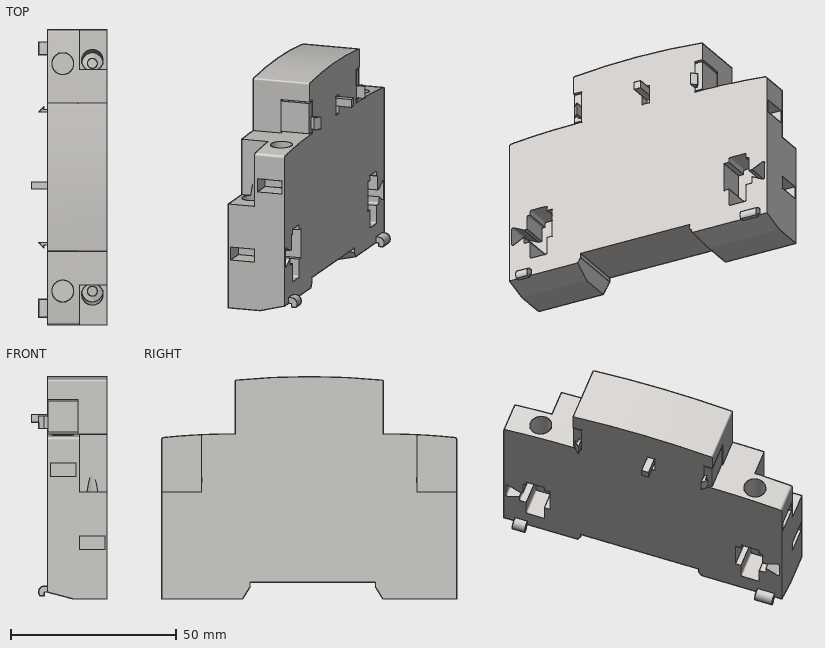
import cadquery as cq
import math

TOTAL_X, LENGTH, HEIGHT = 23.0, 89.4, 67.39
WIDTH = 18.1
POST_REACH = TOTAL_X - WIDTH
HALF = LENGTH / 2

TOWER_HALF = 22.45
TOWER_DROP = 1.1
SHOULDER_Z = 50.05
SHOULDER_DROP = 1.15
TOWER_FILLET = 0.5
SHOULDER_FILLET = 0.8
RAIL_Z = 5.1
RAIL_WALL_Z = 3.7
RAIL_BACK_Y, RAIL_FRONT_Y = 20.0, -17.9
RAIL_FLARE = 2.25
FOOT_BEVEL_X, FOOT_BEVEL_Z = 7.9, 2.1

STEP_X = 9.65
STEP_Z = 32.5
STEP_LENGTH = 12.1
SCREW_X = 13.6
SCREW_Y = 35.42
SCREW_SHAFT_R = 3.25
SCREW_SHAFT_DEPTH = 12.0
SCREW_TILT = 4.8
HEAD_SLOPE = 15.0
HEAD_RIDGE_WIDTH = 1.25
HEAD_PAD_R = 1.5
HEAD_PAD_RISE = 0.1

WELL_X, WELL_Y, WELL_R = 4.65, 34.4, 3.3
WELL_FLOOR_Z = 37.1

UPPER_OPENING = (0.85, 8.7, WELL_FLOOR_Z, 41.2)
LOWER_OPENING = (9.7, 17.35, 15.05, 19.1)
OPENING_DEPTH = 7.0

POCKET_DEPTH = 9.0
POCKET_CORNER = 0.5

CLIP_SEAT_X, CLIP_SEAT_DEPTH = 9.2, 2.75
CLIP_SEAT_Z = (SHOULDER_Z, 60.5)
CLIP_GAP = 0.5
CLIP_INSET = 0.2
HOOK_Z = (51.6, 55.4)
HOOK_REACH = 2.7
HOOK_STEM = 0.85
HOOK_BARB = 1.7
BARB_BACK_X = 1.1

POST_Y, POST_Z = (-3.6, -1.4), (53.5, 55.95)
SLOT_Y, SLOT_Z = (-3.9, -1.4), (50.6, 56.5)
POST_SLOT_DEPTH = 3.0

FOOT_HOOKS = ((37.05, 41.0), (-42.4, -36.9))
FOOT_HOOK_REACH = 2.7
FOOT_HOOK_TOP, FOOT_HOOK_BOTTOM = 3.97, 1.0
FOOT_HOOK_R = 1.8
FOOT_HOOK_LIP_X = 0.9

ENDS = (1, -1)


def block(x_range, y_range, z_range):
    """Box between two limits along each axis, in either order."""
    limits = [sorted(r) for r in (x_range, y_range, z_range)]
    sizes = [hi - lo for lo, hi in limits]
    corner = [lo for lo, hi in limits]
    return cq.Workplane("XY").box(*sizes, centered=False).translate(corner)


def shoulder_height(y):
    """Height of the shoulder arc, level where it leaves the tower."""
    run = HALF - TOWER_HALF
    radius = (run ** 2 + SHOULDER_DROP ** 2) / (2 * SHOULDER_DROP)
    return SHOULDER_Z - radius + math.sqrt(radius ** 2 - (y - TOWER_HALF) ** 2)


def housing():
    shoulder_end = shoulder_height(HALF)
    shoulder_mid_y = (HALF + TOWER_HALF) / 2
    shoulder_mid = shoulder_height(shoulder_mid_y)
    tower_edge = HEIGHT - TOWER_DROP
    body = (
        cq.Workplane("YZ")
        .moveTo(-HALF, 0)
        .lineTo(RAIL_FRONT_Y - RAIL_FLARE, 0)
        .lineTo(RAIL_FRONT_Y, RAIL_WALL_Z)
        .lineTo(RAIL_FRONT_Y, RAIL_Z)
        .lineTo(RAIL_BACK_Y, RAIL_Z)
        .lineTo(RAIL_BACK_Y, RAIL_WALL_Z)
        .lineTo(RAIL_BACK_Y + RAIL_FLARE, 0)
        .lineTo(HALF, 0)
        .lineTo(HALF, shoulder_end)
        .threePointArc((shoulder_mid_y, shoulder_mid), (TOWER_HALF, SHOULDER_Z))
        .lineTo(TOWER_HALF, tower_edge)
        .threePointArc((0, HEIGHT), (-TOWER_HALF, tower_edge))
        .lineTo(-TOWER_HALF, SHOULDER_Z)
        .threePointArc((-shoulder_mid_y, shoulder_mid), (-HALF, shoulder_end))
        .close()
        .extrude(WIDTH)
    )
    for end in ENDS:
        shoulder_edge = cq.selectors.NearestToPointSelector((WIDTH / 2, end * HALF, shoulder_end))
        tower_top_edge = cq.selectors.NearestToPointSelector((WIDTH / 2, end * TOWER_HALF, tower_edge))
        body = body.edges("|X").edges(shoulder_edge).fillet(SHOULDER_FILLET)
        body = body.edges("|X").edges(tower_top_edge).fillet(TOWER_FILLET)
    bevel = (
        cq.Workplane("XZ")
        .polyline([(0, 0), (FOOT_BEVEL_X, 0), (0, FOOT_BEVEL_Z)])
        .close()
        .extrude(HALF, both=True)
    )
    return body.cut(bevel)


def screw_head():
    """Low roof with a rounded ridge along Y and a flat round pad in its middle."""
    slope = math.radians(HEAD_SLOPE)
    eave_x = SCREW_SHAFT_R
    ridge_x = HEAD_RIDGE_WIDTH / 2
    ridge_z = (eave_x - ridge_x) * math.tan(slope)
    crown_z = ridge_z + ridge_x * math.tan(slope / 2)
    roof = (
        cq.Workplane("XZ")
        .moveTo(-eave_x, 0)
        .lineTo(eave_x, 0)
        .lineTo(ridge_x, ridge_z)
        .threePointArc((0, crown_z), (-ridge_x, ridge_z))
        .close()
        .extrude(SCREW_SHAFT_R, both=True)
    )
    pad = cq.Workplane("XY").circle(HEAD_PAD_R).extrude(crown_z + HEAD_PAD_RISE)
    return roof.union(pad).translate((0, 0, -SCREW_SHAFT_DEPTH))


def screw_terminal(end):
    """Open step with a leaning screw shaft that ends on a roof-shaped head."""
    wall = HALF - STEP_LENGTH
    step = block((STEP_X, WIDTH), (end * wall, end * HALF), (STEP_Z, HEIGHT))
    shaft = (
        cq.Workplane("XY")
        .workplane(offset=-SCREW_SHAFT_DEPTH)
        .circle(SCREW_SHAFT_R)
        .extrude(SCREW_SHAFT_DEPTH + HEIGHT - STEP_Z)
        .cut(screw_head())
        .rotate((0, 0, 0), (1, 0, 0), -end * SCREW_TILT)
        .translate((SCREW_X, end * SCREW_Y, STEP_Z))
    )
    return step.union(shaft)


def well(end):
    return (
        cq.Workplane("XY")
        .workplane(offset=WELL_FLOOR_Z)
        .center(WELL_X, end * WELL_Y)
        .circle(WELL_R)
        .extrude(HEIGHT - WELL_FLOOR_Z)
    )


def wire_opening(end, x_start, x_end, z_bottom, z_top):
    return block((x_start, x_end), (end * (HALF - OPENING_DEPTH), end * HALF), (z_bottom, z_top))


def keyed_pocket(end):
    """Cross-shaped pocket with a flared key; Y insets measured from the end wall."""
    top, upper, lower, bottom = 24.4, 22.85, 13.65, 8.0
    neck_top, neck_bottom = 18.25, 15.85
    key_top, key_bottom = 20.3, 13.7
    key_end, neck, outer_wall = 0.8, 5.1, 6.2
    stem_outer, stem_inner, inner_wall = 7.25, 13.1, 14.85

    def y(inset):
        return end * (HALF - inset)

    x_range = (0, POCKET_DEPTH)
    stem = block(x_range, (y(stem_outer), y(stem_inner)), (bottom, top))
    stem = stem.edges("|X").fillet(POCKET_CORNER)
    outward = ">Y" if end > 0 else "<Y"
    cross = block(x_range, (y(stem_outer), y(inner_wall)), (lower, upper))
    shoulder = block(x_range, (y(outer_wall), y(stem_inner)), (neck_top, upper))
    shoulder = shoulder.faces(outward).edges("|X").edges(">Z").fillet(POCKET_CORNER)
    foot = block(x_range, (y(neck), y(stem_inner)), (lower, neck_top))
    foot = foot.faces(outward).edges("|X").edges("<Z").fillet(POCKET_CORNER)
    key = (
        cq.Workplane("YZ")
        .moveTo(y(neck), neck_top)
        .lineTo(y(key_end), key_top)
        .lineTo(y(key_end), key_bottom)
        .lineTo(y(neck), neck_bottom)
        .close()
        .extrude(POCKET_DEPTH)
    )
    key = key.faces(outward).edges("|X").fillet(POCKET_CORNER)
    return stem.union(cross).union(shoulder).union(foot).union(key)


def clip_seat(end):
    return block((0, CLIP_SEAT_X), (end * (TOWER_HALF - CLIP_SEAT_DEPTH), end * TOWER_HALF), CLIP_SEAT_Z)


def clip(end):
    """Arm filling the seat with a barbed hook past the mating face."""
    inner = TOWER_HALF - CLIP_SEAT_DEPTH
    z_low, z_high = CLIP_SEAT_Z
    arm = block(
        (CLIP_INSET, CLIP_SEAT_X),
        (end * inner, end * (TOWER_HALF - CLIP_INSET)),
        (z_low + CLIP_GAP, z_high - CLIP_GAP),
    )
    hook_low, hook_high = HOOK_Z
    hook = (
        cq.Workplane("XY")
        .workplane(offset=hook_low)
        .moveTo(CLIP_INSET, end * inner)
        .lineTo(-HOOK_REACH, end * inner)
        .lineTo(-BARB_BACK_X, end * (inner + HOOK_BARB))
        .lineTo(-BARB_BACK_X, end * (inner + HOOK_STEM))
        .lineTo(CLIP_INSET, end * (inner + HOOK_STEM))
        .close()
        .extrude(hook_high - hook_low)
    )
    return arm.union(hook)


def foot_hook(y_start, y_end):
    """Hook whose rounded back is one arc from its top down to its tip."""
    arc_x = FOOT_HOOK_R - FOOT_HOOK_REACH
    arc_z = FOOT_HOOK_TOP - FOOT_HOOK_R
    tip_x = arc_x - math.sqrt(FOOT_HOOK_R ** 2 - (arc_z - FOOT_HOOK_BOTTOM) ** 2)
    return (
        cq.Workplane("XZ", origin=(0, y_end, 0))
        .moveTo(0, FOOT_HOOK_TOP)
        .lineTo(arc_x, FOOT_HOOK_TOP)
        .threePointArc((-FOOT_HOOK_REACH, arc_z), (tip_x, FOOT_HOOK_BOTTOM))
        .lineTo(-FOOT_HOOK_LIP_X, FOOT_HOOK_BOTTOM)
        .lineTo(-FOOT_HOOK_LIP_X, FOOT_BEVEL_Z)
        .lineTo(0, FOOT_BEVEL_Z)
        .close()
        .extrude(y_end - y_start)
    )


part = housing()
for end in ENDS:
    part = part.cut(screw_terminal(end))
    part = part.cut(well(end))
    part = part.cut(wire_opening(end, *UPPER_OPENING))
    part = part.cut(wire_opening(end, *LOWER_OPENING))
    part = part.cut(keyed_pocket(end))
    part = part.cut(clip_seat(end)).union(clip(end))
part = part.cut(block((0, POST_SLOT_DEPTH), SLOT_Y, SLOT_Z))
part = part.union(block((-POST_REACH, POST_SLOT_DEPTH), POST_Y, POST_Z))
for y_range in FOOT_HOOKS:
    part = part.union(foot_hook(*y_range))

result = part